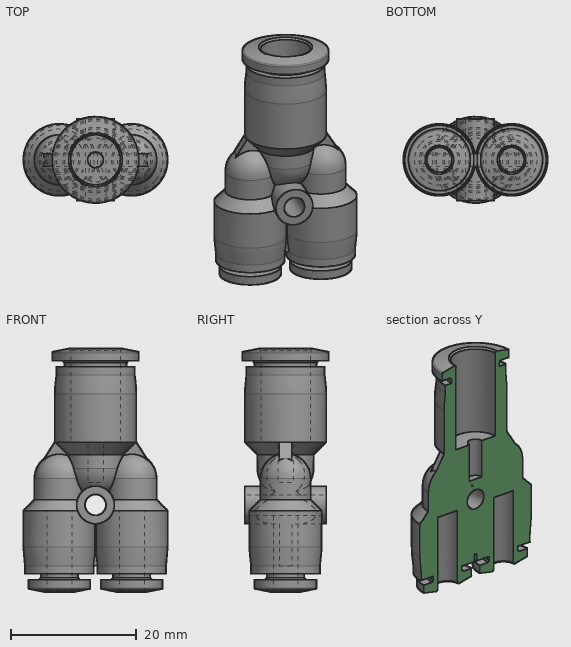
import cadquery as cq
import math

total_height = 38.8
branch_pitch = 11.5
branch_x = branch_pitch / 2

crown_height = 0.5
flange_depth = 2.0
neck_cone_depth = 2.3
body_start_depth = 2.9
lip_depth = 4.2
swell_depth = 7.2

flange_edge_radius = 0.2
neck_cone_flare = 0.25
bore_chamfer = 0.3

main_body_diameter = 13.0
main_lip_diameter = 12.5
main_flange_diameter = 13.8
main_neck_diameter = 9.94
main_bore_diameter = 7.94
main_stem_diameter = 9.0
main_shoulder_depth = 14.9
main_dome_depth = 19.1
passage_diameter = 2.5
passage_end_z = 17.5

branch_body_diameter = 11.5
branch_lip_diameter = 11.0
branch_flange_diameter = 9.9
branch_neck_diameter = 6.0
branch_bore_diameter = 3.97
branch_stem_diameter = 8.0
branch_shoulder_depth = 13.0
branch_dome_depth = 18.1

eye_diameter = 6.0
eye_hole_diameter = 3.3
eye_length = 13.0
eye_z = 13.9

rib_thickness = 2.0
rib_outer_x = 8.6
rib_outer_z = 20.6
web_half_width = 1.0


def arc_midpoint_on_swell(lip_radius, body_radius):
    """Middle point of the arc that leaves the body wall tangentially and ends at the lip."""
    length = swell_depth - lip_depth
    drop = body_radius - lip_radius
    arc_radius = (length**2 + drop**2) / (2 * drop)
    half_angle = math.asin(length / arc_radius) / 2
    radius = body_radius - arc_radius * (1 - math.cos(half_angle))
    return radius, swell_depth - arc_radius * math.sin(half_angle)


def port_body(body_d, lip_d, flange_d, neck_d, bore_d, stem_d, shoulder_depth, dome_depth):
    """Solid port with its tip at Z = 0 and its domed inner end towards +Z."""
    body_r = body_d / 2
    lip_r = lip_d / 2
    flange_r = flange_d / 2
    neck_r = neck_d / 2
    stem_r = stem_d / 2
    crown_r = bore_d / 2 + bore_chamfer
    edge_offset = flange_edge_radius * (1 - math.sqrt(0.5))
    profile = (
        cq.Workplane("XZ")
        .moveTo(0, 0)
        .lineTo(crown_r, 0)
        .lineTo(flange_r - flange_edge_radius, crown_height)
        .threePointArc(
            (flange_r - edge_offset, crown_height + edge_offset),
            (flange_r, crown_height + flange_edge_radius),
        )
        .lineTo(flange_r, flange_depth)
        .lineTo(neck_r + neck_cone_flare, flange_depth)
        .lineTo(neck_r, neck_cone_depth)
        .lineTo(neck_r, body_start_depth)
        .lineTo(lip_r, body_start_depth)
        .lineTo(lip_r, lip_depth)
        .threePointArc(arc_midpoint_on_swell(lip_r, body_r), (body_r, swell_depth))
        .lineTo(body_r, shoulder_depth)
        .lineTo(stem_r, shoulder_depth + body_r - stem_r)
        .lineTo(stem_r, dome_depth)
        .threePointArc(
            (stem_r * math.sqrt(0.5), dome_depth + stem_r * math.sqrt(0.5)),
            (0, dome_depth + stem_r),
        )
        .close()
    )
    return profile.revolve(360, (0, 0, 0), (0, 1, 0))


def port_bore(bore_d, depth):
    """Tube bore with a chamfered mouth, opening at Z = 0 and running towards +Z."""
    bore_r = bore_d / 2
    profile = (
        cq.Workplane("XZ")
        .moveTo(0, 0)
        .lineTo(bore_r + bore_chamfer, 0)
        .lineTo(bore_r, bore_chamfer)
        .lineTo(bore_r, depth)
        .lineTo(0, depth)
        .close()
    )
    return profile.revolve(360, (0, 0, 0), (0, 1, 0))


def to_upper_port(shape):
    """Turn a port shape over so that its tip lies on the top plane."""
    return shape.rotate((0, 0, 0), (1, 0, 0), 180).translate((0, 0, total_height))


def mid_plane_plate(points):
    """Plate of rib thickness centred on the XZ plane."""
    return cq.Workplane("XZ").polyline(points).close().extrude(rib_thickness / 2, both=True)


def side_rib(side):
    """Gusset from the shoulder of the large port to the dome of one branch."""
    shoulder_r = main_body_diameter / 2
    shoulder_z = total_height - main_shoulder_depth
    return mid_plane_plate([
        (0, shoulder_z),
        (side * shoulder_r, shoulder_z),
        (side * rib_outer_x, rib_outer_z),
        (0, rib_outer_z),
    ])


def centre_web():
    """Web closing the narrow gap between the two branches."""
    return mid_plane_plate([
        (-web_half_width, lip_depth),
        (web_half_width, lip_depth),
        (web_half_width, eye_z),
        (-web_half_width, eye_z),
    ])


def eye_cylinder(diameter):
    """Cylinder along Y at the mounting eye."""
    return (
        cq.Workplane("XZ")
        .center(0, eye_z)
        .circle(diameter / 2)
        .extrude(eye_length / 2, both=True)
    )


main_port = port_body(
    main_body_diameter,
    main_lip_diameter,
    main_flange_diameter,
    main_neck_diameter,
    main_bore_diameter,
    main_stem_diameter,
    main_shoulder_depth,
    main_dome_depth,
)
branch_port = port_body(
    branch_body_diameter,
    branch_lip_diameter,
    branch_flange_diameter,
    branch_neck_diameter,
    branch_bore_diameter,
    branch_stem_diameter,
    branch_shoulder_depth,
    branch_dome_depth,
)

result = to_upper_port(main_port).union(eye_cylinder(eye_diameter)).union(centre_web())
for side in (-1, 1):
    result = result.union(side_rib(side))
for side in (-1, 1):
    result = result.union(branch_port.translate((side * branch_x, 0, 0)))

result = result.cut(to_upper_port(port_bore(main_bore_diameter, main_shoulder_depth)))
passage = (
    cq.Workplane("XY")
    .workplane(offset=passage_end_z)
    .circle(passage_diameter / 2)
    .extrude(total_height - main_shoulder_depth - passage_end_z)
)
result = result.cut(passage)
branch_bore = port_bore(branch_bore_diameter, branch_shoulder_depth)
for side in (-1, 1):
    result = result.cut(branch_bore.translate((side * branch_x, 0, 0)))
result = result.cut(eye_cylinder(eye_hole_diameter))